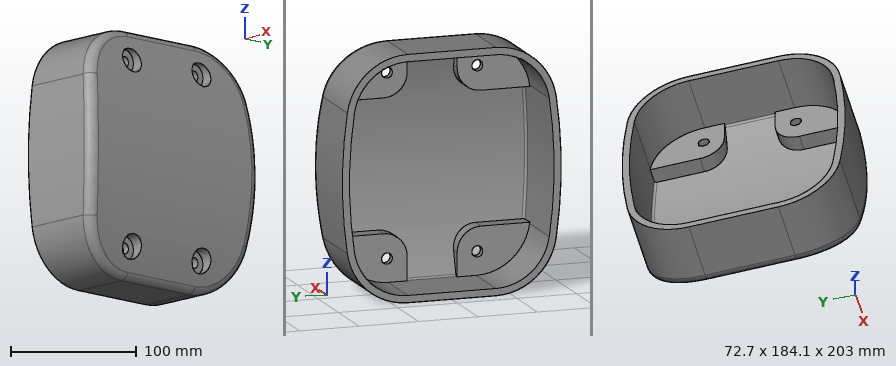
import cadquery as cq
import math

depth = 72.68
width = 184.06
height = 203.0

side_radius = 400.0
corner_radius = 51.4
dome_radius = 300.0
rim_fillet = 8.0
wall = 6.0

boss_face_x = 48.0
boss_inner_y = 21.0
boss_inner_z = 55.5
boss_corner_radius = 20.0

hole_y = 38.0
hole_z = 76.0
hole_diameter = 9.0
counterbore_diameter = 20.0
screw_seat_thickness = 6.0
counterbore_floor_x = boss_face_x + screw_seat_thickness


def rounded_outline(inset):
    """Closed outline, inset evenly from the outer one, on the plane X = 0."""
    half_width = width / 2
    side_center_y = half_width - side_radius
    corner_center_z = height / 2 - corner_radius
    center_distance = side_radius - corner_radius
    tangent_angle = math.asin(corner_center_z / center_distance)
    corner_center_y = side_center_y + center_distance * math.cos(tangent_angle)

    radius = corner_radius - inset
    top_z = height / 2 - inset
    side_y = half_width - inset
    middle_angle = (tangent_angle + math.pi / 2) / 2

    def on_corner(angle):
        """Point on the +Y +Z corner arc, angle measured from +Y."""
        return (corner_center_y + radius * math.cos(angle), corner_center_z + radius * math.sin(angle))

    middle_y, middle_z = on_corner(middle_angle)
    end_y, end_z = on_corner(tangent_angle)
    return (
        cq.Workplane("YZ")
        .moveTo(-corner_center_y, top_z)
        .lineTo(corner_center_y, top_z)
        .threePointArc((middle_y, middle_z), (end_y, end_z))
        .threePointArc((side_y, 0), (end_y, -end_z))
        .threePointArc((middle_y, -middle_z), (corner_center_y, -top_z))
        .lineTo(-corner_center_y, -top_z)
        .threePointArc((-middle_y, -middle_z), (-end_y, -end_z))
        .threePointArc((-side_y, 0), (-end_y, end_z))
        .threePointArc((-middle_y, middle_z), (-corner_center_y, top_z))
        .close()
    )


def domed_block(inset):
    """Solid block with a cylindrical back and a filleted back edge, inset evenly from the outer form."""
    dome = (
        cq.Workplane("XZ")
        .center(depth - dome_radius, 0)
        .circle(dome_radius - inset)
        .extrude(width, both=True)
    )
    block = rounded_outline(inset).extrude(depth).intersect(dome)
    return block.faces(">X").edges().fillet(rim_fillet - inset)


def mounting_bosses():
    """Four corner pads with one rounded corner each, long enough to run into the walls and the back."""
    size_y = width / 2 - boss_inner_y
    size_z = height / 2 - boss_inner_z
    pads = cq.Workplane()
    for sign_y in (-1, 1):
        for sign_z in (-1, 1):
            center = (boss_face_x, sign_y * (boss_inner_y + size_y / 2), sign_z * (boss_inner_z + size_z / 2))
            inner_side = ("<" if sign_y > 0 else ">") + "Y"
            inner_end = ("<" if sign_z > 0 else ">") + "Z"
            pad = (
                cq.Workplane("YZ", origin=center)
                .rect(size_y, size_z)
                .extrude(depth - boss_face_x)
                .faces(inner_side)
                .edges(inner_end)
                .fillet(boss_corner_radius)
            )
            pads = pads.add(pad)
    return pads.combine()


def cylinders(diameter, start_x):
    """One cylinder along X at each screw position, from start_x to the depth of the crown."""
    return (
        cq.Workplane("YZ", origin=(start_x, 0, 0))
        .rect(2 * hole_y, 2 * hole_z, forConstruction=True)
        .vertices()
        .circle(diameter / 2)
        .extrude(depth - start_x)
    )


outer = domed_block(0)
cavity = domed_block(wall).cut(mounting_bosses())
result = (
    outer.cut(cavity)
    .cut(cylinders(hole_diameter, 0))
    .cut(cylinders(counterbore_diameter, counterbore_floor_x))
)